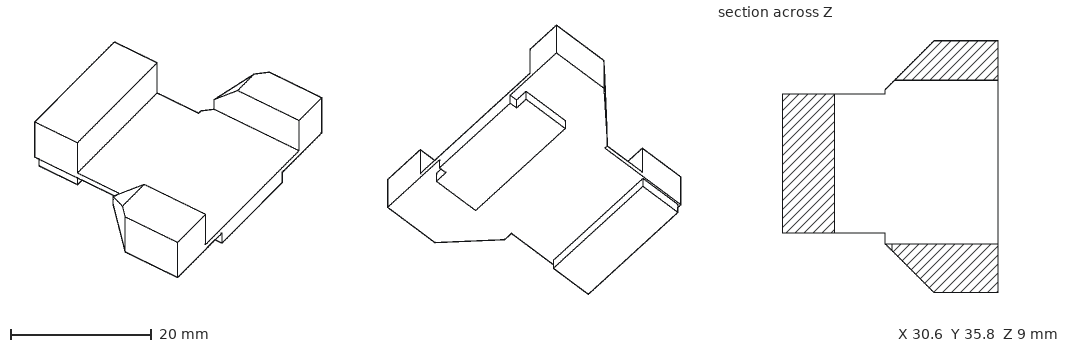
import cadquery as cq

length = 30.63
width = 35.8
body_height = 7.0
foot_height = 2.0
base_thickness = 1.0

block_length = 7.4
block_y_min = 8.45
block_width = 19.8
block_y_max = block_y_min + block_width

wide_x_min = 14.55
corner_cut = 7.0

front_wall_thickness = 6.95
back_wall_thickness = 5.65
ramp_top_x = 20.0

foot_width = 19.0
foot_y_center = 18.5
left_foot_x_min = 0.35
left_foot_length = 6.7
right_foot_x_min = 21.9
right_foot_length = 7.5
tab_width = 15.0


def box(x_min, x_max, y_min, y_max, z_min, z_max):
    """Axis-aligned box given by its limits."""
    size = (x_max - x_min, y_max - y_min, z_max - z_min)
    return cq.Workplane("XY").box(*size, centered=False).translate((x_min, y_min, z_min))


def wide_prism(height):
    """Wide outline with its two cut corners, raised from the underside of the base."""
    outline = [
        (length, 0),
        (length, width),
        (wide_x_min + corner_cut, width),
        (wide_x_min, width - corner_cut),
        (wide_x_min, corner_cut),
        (wide_x_min + corner_cut, 0),
    ]
    return cq.Workplane("XY").polyline(outline).close().extrude(height)


def side_wall(y_min, y_max):
    """Wall with a 45 degree ramp, trimmed to the wide outline of the base."""
    ramp_drop = ramp_top_x - wide_x_min
    profile = [
        (wide_x_min, 0),
        (length, 0),
        (length, body_height),
        (ramp_top_x, body_height),
        (wide_x_min, body_height - ramp_drop),
    ]
    wall = cq.Workplane("XZ", origin=(0, y_max, 0)).polyline(profile).close().extrude(y_max - y_min)
    return wall.intersect(wide_prism(body_height))


def foot(x_min, x_max, y_width):
    """Rectangular foot hanging below the base."""
    half_width = y_width / 2
    return box(x_min, x_max, foot_y_center - half_width, foot_y_center + half_width, -foot_height, 0)


neck = box(0, length, block_y_min, block_y_max, 0, base_thickness)
end_block = box(0, block_length, block_y_min, block_y_max, 0, body_height)
body = wide_prism(base_thickness).union(neck).union(end_block)

body = body.union(side_wall(0, front_wall_thickness))
body = body.union(side_wall(width - back_wall_thickness, width))

right_foot_x_max = right_foot_x_min + right_foot_length
body = body.union(foot(left_foot_x_min, left_foot_x_min + left_foot_length, foot_width))
body = body.union(foot(right_foot_x_min, right_foot_x_max, foot_width))
result = body.union(foot(right_foot_x_max, length, tab_width))